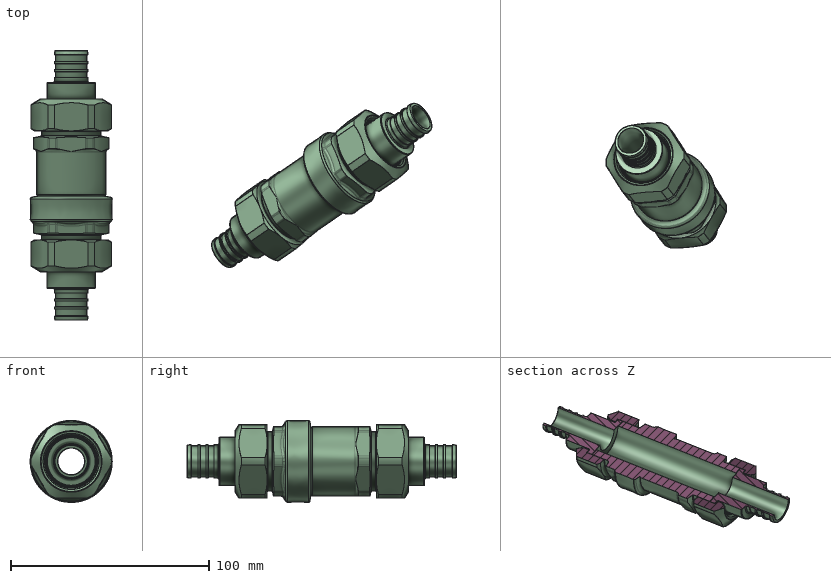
import cadquery as cq
import math


overall_length = 135.76
end_y = overall_length / 2
bore_dia = 13.46
stem_dia = 15.88
barb_dia = 16.94
barb_tip_dia = 16.3
barb_slant = 0.3
end_barb_length = 2.2
end_barb_radius = 5.0
slim_barb_length = 1.3
slim_barb_centres = (61.75, 57.7)
foot_barb_end_y = 54.3
foot_dia = 18.0
foot_height = 0.5
shank_end_y = 51.9
shank_dia = 24.43
shank_tip_dia = 24.1
shank_chamfer_length = 0.5
head_thickness = 3.0

nut_inner_y = 27.5
nut_outer_y = 43.6
nut_flats = 37.0
nut_corner_dia = 40.7
nut_face_dia = 31.0
nut_outer_slope = 32.0
nut_inner_slope = 30.0
mouth_dia = 30.3
mouth_throat_dia = 28.3
mouth_throat_depth = 0.4
mouth_bottom_dia = 26.92
mouth_depth = 1.6
mouth_step_dia = 25.91
mouth_step_depth = 1.0
nut_hole_dia = 25.0
nut_lip_thickness = 5.7

thread_dia = 30.3
thread_start_y = 27.2
neck_dia = 30.0
neck_foot_chamfer = 0.4
housing_bore_dia = 21.0
lip_inner_y = nut_outer_y - nut_lip_thickness
thread_end_y = lip_inner_y - head_thickness

hex_flats = 35.1
hex_corner_dia = 38.2
hex_edge_radius = 2.0
hex_shoulder_y = 24.8
hex_shoulder_slope = 12.0
hex_root_slope = 30.0
hex_root_corner_y = 18.57
hex_root_radius = 1.6
barrel_dia = 35.0
barrel_end_y = -4.6

groove_dia = 33.8
groove_y = -5.35
ring_dia = 41.38
ring_waist_dia = 41.0
ring_top_dia = 39.3
ring_top_y = -5.9
ring_top_radius = 1.1
ring_side_top_y = -6.75
ring_side_bottom_y = -17.3
ring_cone_dia = 40.0
ring_cone_y = -18.3
ring_root_radius = 1.5
ring_rim_clearance = 0.1


def rise(radial_length, slope):
    """Axial length of a cone that covers a radial length, for a slope in degrees off square."""
    return radial_length * math.tan(math.radians(slope))


root_y = hex_root_corner_y - rise((hex_corner_dia - barrel_dia) / 2, hex_root_slope)
blend_turn = math.radians(90 - hex_root_slope)
blend_tangent = hex_root_radius * math.tan(blend_turn / 2)
blend_end_y = root_y - blend_tangent


def disc(diameter, y0, y1):
    """Round bar along Y between two stations."""
    return cq.Workplane("XZ", origin=(0, y1, 0)).circle(diameter / 2).extrude(y1 - y0)


def hexagon(flats, y0, y1):
    """Hexagonal bar along Y with a flat facing +Z."""
    corner_to_corner = flats / math.cos(math.pi / 6)
    return cq.Workplane("XZ", origin=(0, y1, 0)).polygon(6, corner_to_corner).extrude(y1 - y0)


def spin(outline):
    """Close an outline drawn in XY and revolve it about the Y axis."""
    return outline.close().revolve(360, (0, 0, 0), (0, 1, 0))


def turned(points):
    """Solid of revolution about Y from straight (radius, y) segments."""
    return spin(cq.Workplane("XY").polyline(points))


def slim_barb(centre_y):
    """Outline points of a slim barb on the stem: square outer side, slanted inner side."""
    half = slim_barb_length / 2
    return [
        (stem_dia / 2, centre_y + half),
        (barb_dia / 2, centre_y + half),
        (barb_dia / 2, centre_y - half + barb_slant),
        (stem_dia / 2, centre_y - half),
    ]


def make_tail():
    """Hose tail: barbed stem, shank, and the head trapped between nut lip and housing."""
    bore_r = bore_dia / 2
    barb_r = barb_dia / 2
    end_barb_y = end_y - end_barb_length
    outline = (
        cq.Workplane("XY")
        .moveTo(bore_r, end_y)
        .lineTo(barb_tip_dia / 2, end_y)
        .radiusArc((barb_r, end_barb_y + barb_slant), end_barb_radius)
        .lineTo(stem_dia / 2, end_barb_y)
    )
    stations = []
    for centre_y in slim_barb_centres:
        stations += slim_barb(centre_y)
    stations += [
        (stem_dia / 2, foot_barb_end_y),
        (barb_r, foot_barb_end_y),
        (barb_r, shank_end_y + foot_height),
        (foot_dia / 2, shank_end_y),
        (shank_tip_dia / 2, shank_end_y),
        (shank_dia / 2, shank_end_y - shank_chamfer_length),
        (shank_dia / 2, lip_inner_y),
        (thread_dia / 2, lip_inner_y),
        (thread_dia / 2, thread_end_y),
        (bore_r, thread_end_y),
    ]
    for radius, y in stations:
        outline = outline.lineTo(radius, y)
    return spin(outline)


def make_nut():
    """Union nut: hexagon with turned ends, threaded bore, and a lip with a stepped mouth."""
    corner_r = nut_corner_dia / 2
    flat_r = nut_flats / 2
    face_r = nut_face_dia / 2
    mouth_y = nut_outer_y - mouth_depth
    step_y = mouth_y - mouth_step_depth
    blank = turned([
        (thread_dia / 2, nut_inner_y),
        (flat_r, nut_inner_y),
        (corner_r, nut_inner_y + rise(corner_r - flat_r, nut_inner_slope)),
        (corner_r, nut_outer_y - rise(corner_r - face_r, nut_outer_slope)),
        (face_r, nut_outer_y),
        (mouth_dia / 2, nut_outer_y),
        (mouth_throat_dia / 2, nut_outer_y - mouth_throat_depth),
        (mouth_bottom_dia / 2, mouth_y),
        (mouth_step_dia / 2, mouth_y),
        (mouth_step_dia / 2, step_y),
        (nut_hole_dia / 2, step_y),
        (nut_hole_dia / 2, lip_inner_y),
        (thread_dia / 2, lip_inner_y),
    ])
    return blank.intersect(hexagon(nut_flats, nut_inner_y, nut_outer_y))


def spanner_bar(y0, y1):
    """Hexagonal bar with its corners turned round and the edges left by that softened."""
    bar = hexagon(hex_flats, y0, y1).intersect(disc(hex_corner_dia, y0, y1))
    return bar.edges("|Y").fillet(hex_edge_radius)


def shoulder_points():
    """(radius, y) points of the sloped shoulder on the outer side of the +Y hexagon."""
    corner_r = hex_corner_dia / 2
    foot_r = neck_dia / 2 + neck_foot_chamfer
    return [
        (neck_dia / 2, hex_shoulder_y + neck_foot_chamfer),
        (foot_r, hex_shoulder_y),
        (corner_r, hex_shoulder_y - rise(corner_r - foot_r, hex_shoulder_slope)),
    ]


def make_upper_hexagon():
    """+Y hexagon, whose conical underside blends into the barrel."""
    corner_r = hex_corner_dia / 2
    barrel_r = barrel_dia / 2
    slope = math.radians(hex_root_slope)
    blend_start = (
        barrel_r + blend_tangent * math.cos(slope),
        root_y + blend_tangent * math.sin(slope),
    )
    blend_middle = (
        barrel_r + hex_root_radius * (1 - math.cos(blend_turn / 2)),
        blend_end_y + hex_root_radius * math.sin(blend_turn / 2),
    )
    neck_point, foot_point, corner_point = shoulder_points()
    blank = spin(
        cq.Workplane("XY")
        .moveTo(0, neck_point[1])
        .lineTo(*neck_point)
        .lineTo(*foot_point)
        .lineTo(*corner_point)
        .lineTo(corner_r, hex_root_corner_y)
        .lineTo(*blend_start)
        .threePointArc(blend_middle, (barrel_r, blend_end_y))
        .lineTo(0, blend_end_y)
    )
    return blank.intersect(spanner_bar(blend_end_y, neck_point[1]))


def make_ring_with_lower_hexagon():
    """Waisted gripping ring and the -Y hexagon, blended where the hexagon leaves the ring."""
    ring_r = ring_dia / 2
    cone_r = ring_cone_dia / 2
    core_r = neck_dia / 2
    cone_end_y = ring_cone_y - rise(cone_r - core_r, hex_root_slope)
    waist_y = (ring_side_top_y + ring_side_bottom_y) / 2
    ring = spin(
        cq.Workplane("XY")
        .moveTo(0, groove_y)
        .lineTo(groove_dia / 2, groove_y)
        .lineTo(ring_top_dia / 2, ring_top_y)
        .radiusArc((ring_r, ring_side_top_y), ring_top_radius)
        .threePointArc((ring_waist_dia / 2, waist_y), (ring_r, ring_side_bottom_y))
        .lineTo(cone_r, ring_cone_y)
        .lineTo(core_r, cone_end_y)
        .lineTo(0, cone_end_y)
    )
    shoulder = [(radius, -y) for radius, y in shoulder_points()]
    lower_end_y = shoulder[0][1]
    blank = turned([
        (0, lower_end_y),
        *shoulder,
        (hex_corner_dia / 2, ring_side_bottom_y),
        (0, ring_side_bottom_y),
    ])
    lower_hexagon = blank.intersect(spanner_bar(lower_end_y, ring_side_bottom_y))
    cone_zone = cq.selectors.BoxSelector(
        (-ring_r, cone_end_y, -ring_r),
        (ring_r, ring_cone_y - ring_rim_clearance, ring_r),
        boundingbox=True,
    )
    return ring.union(lower_hexagon).edges(cone_zone).fillet(ring_root_radius)


def make_threaded_end():
    """Solid core of the +Y end: neck behind the hexagon, then the thread it opens into."""
    thread_r = thread_dia / 2
    neck_r = neck_dia / 2
    return turned([
        (0, 0),
        (neck_r, 0),
        (neck_r, thread_start_y),
        (thread_r, thread_start_y + thread_r - neck_r),
        (thread_r, thread_end_y),
        (0, thread_end_y),
    ])


def make_housing():
    """Valve housing: threaded ends, two hexagons, barrel and gripping ring, bored through."""
    barrel_r = barrel_dia / 2
    barrel = turned([
        (0, blend_end_y),
        (barrel_r, blend_end_y),
        (barrel_r, barrel_end_y),
        (groove_dia / 2, groove_y),
        (0, groove_y),
    ])
    threaded_end = make_threaded_end()
    body = make_ring_with_lower_hexagon().union(barrel).union(make_upper_hexagon())
    body = body.union(threaded_end).union(threaded_end.rotate((0, 0, 0), (0, 0, 1), 180))
    return body.cut(disc(housing_bore_dia, -thread_end_y, thread_end_y))


solids = [make_housing().val()]
for end_angle in (0, 180):
    for make_body in (make_tail, make_nut):
        body_at_end = make_body().rotate((0, 0, 0), (0, 0, 1), end_angle)
        solids.append(body_at_end.val())

result = cq.Compound.makeCompound(solids)